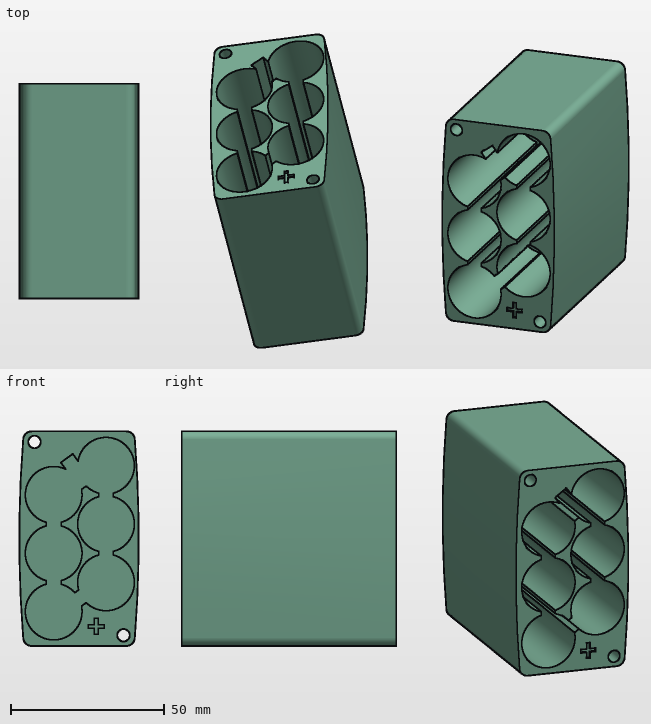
import cadquery as cq
import math

length = 70.0
height = 70.0
width_middle = 39.0
width_ends = 36.0
corner_radius = 2.84

cell_diameter = 18.5
cell_pitch = 19.0
cells_per_column = 3
cell_depth = 65.0
left_column_x = -8.25
right_column_x = 8.8
column_stagger = cell_pitch / 2

passage_width = 4.8
passage_length = 4.8
passage_tilt = 36.0
upper_passage_length = 11.05
upper_passage_foot_x = 2.53
upper_passage_foot_z = 17.26

screw_diameter = 4.0
screw_x = 14.5
screw_z = 31.5

mark_x = 5.6
mark_z = -28.6
mark_size = 5.2
mark_stroke = 1.2
mark_depth = 1.0

front_y = -length / 2


def column_heights(middle):
    """Heights of the cell axes in a column centred on the given height."""
    offset = (cells_per_column - 1) / 2
    return [middle + (i - offset) * cell_pitch for i in range(cells_per_column)]


def front_pocket(size_x, size_z, depth, x, z, tilt=0.0):
    """Rectangular cutter reaching in from the front face, tilted about its own axis."""
    cutter = cq.Workplane("XY").box(size_x, depth, size_z)
    cutter = cutter.rotate((0, 0, 0), (0, 1, 0), -tilt)
    return cutter.translate((x, front_y + depth / 2, z))


def front_bore(diameter, depth, x, z):
    """Round cutter reaching in from the front face."""
    bore = cq.Workplane("XZ", origin=(x, front_y, z))
    return bore.circle(diameter / 2).extrude(-depth)


def block():
    """Solid block whose left and right sides are shallow arcs."""
    half_top = width_ends / 2
    half_height = height / 2
    half_middle = width_middle / 2
    outline = (
        cq.Workplane("XZ", origin=(0, front_y, 0))
        .moveTo(-half_top, half_height)
        .lineTo(half_top, half_height)
        .threePointArc((half_middle, 0), (half_top, -half_height))
        .lineTo(-half_top, -half_height)
        .threePointArc((-half_middle, 0), (-half_top, half_height))
        .close()
    )
    return outline.extrude(-length).edges("|Y").fillet(corner_radius)


def cell_column(x, middle):
    """One column of bores with upright passages between neighbours."""
    heights = column_heights(middle)
    column = front_bore(cell_diameter, cell_depth, x, heights[0])
    for lower, upper in zip(heights, heights[1:]):
        column = column.union(front_bore(cell_diameter, cell_depth, x, upper))
        passage_z = (lower + upper) / 2
        column = column.union(front_pocket(passage_width, passage_length, cell_depth, x, passage_z))
    return column


def tilted_passage(size, foot_z):
    """Tilted passage between the columns, given its size and the middle of its lower end."""
    tilt = math.radians(passage_tilt)
    x = upper_passage_foot_x - size / 2 * math.sin(tilt)
    z = foot_z + size / 2 * math.cos(tilt)
    return front_pocket(passage_width, size, cell_depth, x, z, passage_tilt)


def polarity_mark():
    """Shallow plus sign."""
    bar = front_pocket(mark_size, mark_stroke, mark_depth, mark_x, mark_z)
    return bar.union(front_pocket(mark_stroke, mark_size, mark_depth, mark_x, mark_z))


result = block()
result = result.cut(cell_column(left_column_x, -column_stagger / 2))
result = result.cut(cell_column(right_column_x, column_stagger / 2))

lower_passage_foot_z = upper_passage_foot_z - (cells_per_column - 1) * cell_pitch
result = result.cut(tilted_passage(upper_passage_length, upper_passage_foot_z))
result = result.cut(tilted_passage(passage_length, lower_passage_foot_z))

for side in (-1, 1):
    result = result.cut(front_bore(screw_diameter, length, side * screw_x, -side * screw_z))

result = result.cut(polarity_mark())